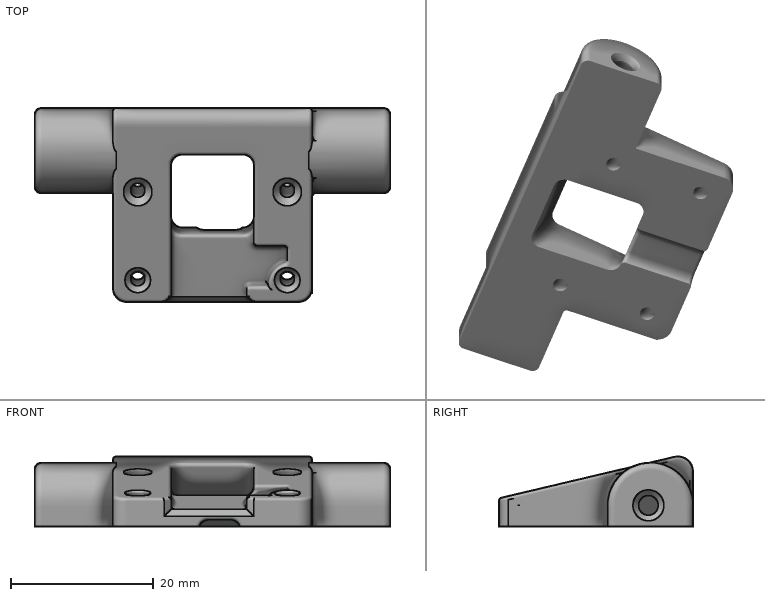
import cadquery as cq
import math

total_length = 50.0
total_depth = 27.28
barrel_radius = 6.0
barrel_axis_z = 3.0
barrel_end_round = 1.0
barrel_root_round = 0.5

block_half_width = 14.0
block_back_y = barrel_radius
block_front_y = block_back_y - total_depth
front_height = 4.0
slope_angle = 13.3
back_top_round = 2.15
front_corner_round = 2.0
edge_round = 0.5

bore_y = -0.28
bore_diameter = 2.76
bore_mouth_diameter = 4.35
bore_depth = 10.0

window_half_width = 5.8
window_front_v = 9.3
window_back_v = 21.1
window_back_lean = 7.2
window_sill_round = 0.5
window_corner_round = 1.5
pocket_depth = 1.67
pocket_right_x = 10.5
pocket_back_v = 8.0
lip_left_x = 4.8
lip_back_v = 2.2
pocket_corner_round = 0.5
pocket_floor_round = 0.5
pocket_back_floor_round = 1.0
pocket_flare_width = 1.0
pocket_flare_depth = 0.77

screw_x = 10.5
screw_hole_diameter = 2.0
lower_screw_v = 3.17
lower_screw_head = 3.6
upper_screw_v = 15.9
upper_screw_head = 4.0
screw_boss_x = 11.2
screw_boss_v = 2.3
screw_boss_radius = 3.35

channel_x = 1.0
channel_height = 0.95
channel_roof_width = 3.2
channel_corner_round = 1.3
channel_mouth_round = 0.5

angle = math.radians(slope_angle)
slope = math.tan(angle)
back_height = front_height + slope * total_depth
channel_width = channel_roof_width + 2 * channel_corner_round
half_length = total_length / 2
pocket_end_v = window_front_v + window_corner_round
clearance = 5.0
through = 40.0
tolerance = 0.05

slope_plane = cq.Plane(
    origin=(0, block_front_y, front_height),
    xDir=(1, 0, 0),
    normal=(0, -math.sin(angle), math.cos(angle)),
)
square_to_slope = cq.selectors.ParallelDirSelector(slope_plane.zDir)
highest_on_slope = cq.selectors.DirectionMinMaxSelector(slope_plane.zDir, True)
lowest_on_slope = cq.selectors.DirectionMinMaxSelector(slope_plane.zDir, False)


def on_slope():
    return cq.Workplane(slope_plane)


def near(x, v, height=0.0):
    """Selects the item closest to a point given on (or at a height off) the sloped top."""
    point = slope_plane.toWorldCoords((x, v, height))
    return cq.selectors.NearestToPointSelector(point.toTuple())


def wedge(width, inset=0.0):
    """Wedge centred on X = 0, optionally pulled in from its top and back."""
    drop = inset / math.cos(angle)
    back_y = block_back_y - inset
    return (
        cq.Workplane("YZ")
        .moveTo(block_front_y, 0)
        .lineTo(back_y, 0)
        .lineTo(back_y, back_height - inset * slope - drop)
        .lineTo(block_front_y, front_height - drop)
        .close()
        .extrude(width / 2, both=True)
        .edges("|X and >Z")
        .fillet(back_top_round - inset)
    )


def make_block():
    return wedge(2 * block_half_width).edges("|Z and <Y").fillet(front_corner_round)


def make_pocket():
    """Tool for the stepped pocket that opens into the window and through the front face."""
    pocket = (
        on_slope()
        .workplane(offset=-pocket_depth)
        .moveTo(-window_half_width, -clearance)
        .lineTo(lip_left_x, -clearance)
        .lineTo(lip_left_x, lip_back_v)
        .lineTo(pocket_right_x, lip_back_v)
        .lineTo(pocket_right_x, pocket_back_v)
        .lineTo(window_half_width, pocket_back_v)
        .lineTo(window_half_width, pocket_end_v)
        .lineTo(-window_half_width, pocket_end_v)
        .close()
        .extrude(pocket_depth + clearance)
    )
    corners = [
        (lip_left_x, lip_back_v),
        (pocket_right_x, pocket_back_v),
        (window_half_width, pocket_back_v),
    ]
    for x, v in corners:
        pocket = pocket.edges(square_to_slope).edges(near(x, v)).fillet(pocket_corner_round)

    boss = on_slope().center(screw_boss_x, screw_boss_v).circle(screw_boss_radius).extrude(through, both=True)
    return round_pocket_floor(pocket.cut(boss))


def round_pocket_floor(pocket):
    """Rounds the foot of the pocket walls, more generously along the back walls."""

    def along_back(edge):
        place = slope_plane.toLocalCoords(edge.Center())
        return place.x > window_half_width - tolerance and place.y > pocket_back_v - tolerance

    def along_side(edge):
        place = slope_plane.toLocalCoords(edge.Center())
        at_left = place.x < -window_half_width + tolerance
        at_right = place.x > lip_left_x - tolerance and not along_back(edge)
        return at_left or at_right

    pocket = pocket.faces(lowest_on_slope).edges().filter(along_back).fillet(pocket_back_floor_round)
    return pocket.faces(lowest_on_slope).edges().filter(along_side).fillet(pocket_floor_round)


def make_window():
    """Tool for the window: front wall square to the slope, back wall leaning out towards the base."""
    lean = math.tan(math.radians(window_back_lean))
    side_plane = cq.Plane(slope_plane.origin, slope_plane.yDir, (1, 0, 0))
    return (
        cq.Workplane(side_plane)
        .moveTo(window_front_v, clearance)
        .lineTo(window_front_v, -through)
        .lineTo(window_back_v + through * lean, -through)
        .lineTo(window_back_v - clearance * lean, clearance)
        .close()
        .extrude(window_half_width, both=True)
        .edges("not |X")
        .edges("not(<Z or >Z)")
        .fillet(window_corner_round)
    )


def round_window_sill(body):
    """Rounds the edge where the pocket floor drops into the window."""
    sill = near(0, window_front_v, -pocket_depth)
    return body.edges("|X").edges(sill).fillet(window_sill_round)


def make_channel():
    """Tool for the cable channel that runs under the pocket from the front face to the window."""
    return (
        cq.Workplane("XZ", origin=(channel_x, block_front_y - clearance, channel_height - clearance / 2))
        .rect(channel_width, clearance)
        .extrude(-(window_front_v + 2 * clearance))
        .edges("|Y and >Z")
        .fillet(channel_corner_round)
    )


def round_channel_mouths(body):
    """Rounds the channel where it meets the front face and the window."""

    def at_mouth(edge):
        place = edge.Center()
        across = abs(place.x - channel_x) < channel_width / 2
        upright = tolerance < place.z < channel_height + tolerance
        in_front = abs(place.y - block_front_y) < tolerance
        beside_window = abs(slope_plane.toLocalCoords(place).y - window_front_v) < tolerance
        return across and upright and (in_front or beside_window)

    return body.edges().filter(at_mouth).fillet(channel_mouth_round)


def make_pocket_flare():
    """Tool that widens the pocket, with mitred corners, where it breaks through the front face."""
    floor_z = front_height - pocket_depth / math.cos(angle)
    inner_z = floor_z + slope * pocket_flare_depth
    outer_z = inner_z - pocket_flare_width
    rise = front_height + clearance
    left_x = -window_half_width
    inner_y = block_front_y + pocket_flare_depth
    inner = cq.Workplane("XZ", origin=(0, inner_y, 0))
    inner = inner.polyline([(left_x, rise), (left_x, inner_z), (lip_left_x, inner_z), (lip_left_x, rise)])
    outer_left = left_x - pocket_flare_width
    outer_right = lip_left_x + pocket_flare_width
    return (
        inner.close()
        .workplane(offset=pocket_flare_depth)
        .polyline([(outer_left, rise), (outer_left, outer_z), (outer_right, outer_z), (outer_right, rise)])
        .close()
        .loft(ruled=True)
    )


def barrel_profile(start_x):
    """End outline of a barrel: half round on top, straight sides down to the base."""
    return (
        cq.Workplane("YZ", origin=(start_x, 0, 0))
        .moveTo(-barrel_radius, 0)
        .lineTo(-barrel_radius, barrel_axis_z)
        .threePointArc((0, barrel_axis_z + barrel_radius), (barrel_radius, barrel_axis_z))
        .lineTo(barrel_radius, 0)
        .close()
    )


def make_barrel():
    """Barrel on the +X side with a rounded end, starting just inside the block."""
    start_x = block_half_width - edge_round
    barrel = barrel_profile(start_x).extrude(half_length - start_x)
    return barrel.faces(">X").edges("not <Z").fillet(barrel_end_round)


def make_root_flare():
    """Hollow blend where the +X barrel meets the block, kept under the wedge outline."""
    wall = (
        cq.Workplane("XY")
        .box(edge_round, through, through, centered=(False, True, False))
        .translate((block_half_width - edge_round, 0, 0))
    )
    stub = barrel_profile(block_half_width).extrude(2 * barrel_root_round)

    def at_root(edge):
        place = edge.Center()
        on_wall = abs(place.x - block_half_width) < tolerance
        return on_wall and abs(place.y) < 2 * barrel_radius and tolerance < place.z < through / 2

    flare = wall.union(stub).edges().filter(at_root).fillet(barrel_root_round)
    return flare.intersect(wedge(2 * (block_half_width + barrel_root_round), inset=edge_round))


def make_bore():
    """Tool for the blind bore with a conical mouth in the +X barrel end."""
    mouth_depth = (bore_mouth_diameter - bore_diameter) / 2
    profile = (
        cq.Workplane("XY", origin=(half_length, bore_y, barrel_axis_z))
        .lineTo(0, bore_mouth_diameter / 2)
        .lineTo(-mouth_depth, bore_diameter / 2)
        .lineTo(-bore_depth, bore_diameter / 2)
        .lineTo(-bore_depth, 0)
        .close()
    )
    return profile.revolve(360, (0, 0, 0), (1, 0, 0))


def make_screw_hole(x, v, head_diameter):
    """Tool for a countersunk hole square to the slope."""
    head_depth = (head_diameter - screw_hole_diameter) / 2
    profile = (
        cq.Workplane(cq.Plane(slope_plane.toWorldCoords((x, v)), slope_plane.xDir, -slope_plane.yDir))
        .lineTo(head_diameter / 2, 0)
        .lineTo(screw_hole_diameter / 2, -head_depth)
        .lineTo(screw_hole_diameter / 2, -through)
        .lineTo(0, -through)
        .close()
    )
    return profile.revolve(360, (0, 0, 0), (0, 1, 0))


body = make_block().cut(make_pocket())
body = body.cut(make_pocket_flare())
body = body.cut(make_window()).cut(make_channel())
body = round_channel_mouths(body)
body = round_window_sill(body)
body = body.faces(highest_on_slope).edges().fillet(edge_round)

barrel = make_barrel()
body = body.union(barrel).union(barrel.mirror("YZ")).union(make_root_flare())

bore = make_bore()
body = body.cut(bore).cut(bore.mirror("YZ"))
for v, head_diameter in ((lower_screw_v, lower_screw_head), (upper_screw_v, upper_screw_head)):
    for x in (-screw_x, screw_x):
        body = body.cut(make_screw_hole(x, v, head_diameter))

result = body